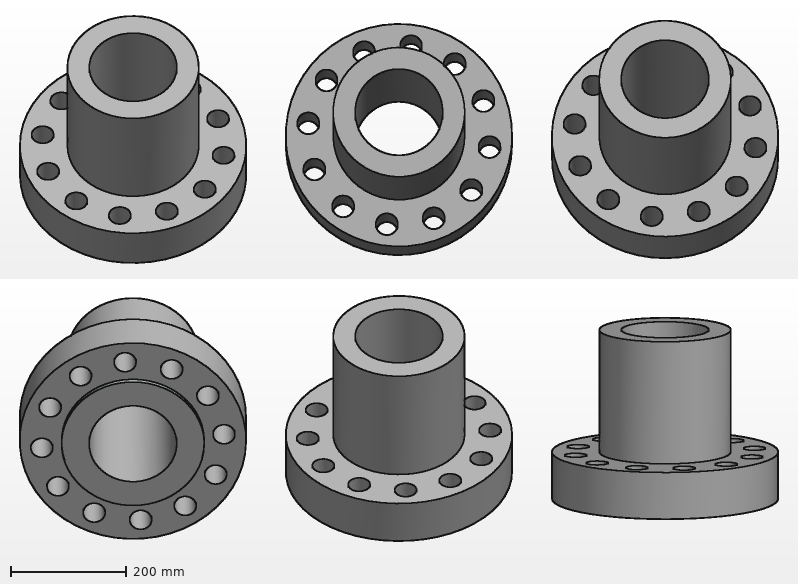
import cadquery as cq

flange_diameter = 393.5
flange_thickness = 82.5

face_diameter = 248.0
face_height = 9.5

total_height = 307.8
neck_diameter = 228.5
neck_height = total_height - flange_thickness - face_height

bore_diameter = 152.5
bolt_count = 12
bolt_circle_diameter = 317.5
bolt_hole_diameter = 38.0


def make_body():
    """Stack the raised face, flange and neck along Z, starting at Z = 0."""
    return (
        cq.Workplane("XY")
        .circle(face_diameter / 2)
        .extrude(face_height)
        .faces(">Z")
        .workplane()
        .circle(flange_diameter / 2)
        .extrude(flange_thickness)
        .faces(">Z")
        .workplane()
        .circle(neck_diameter / 2)
        .extrude(neck_height)
    )


def make_bore():
    """Cylinder that removes the central through bore."""
    return cq.Workplane("XY").circle(bore_diameter / 2).extrude(total_height)


def make_bolt_holes():
    """Ring of equally spaced cylinders, the first on the +X axis, that pass through the flange."""
    return (
        cq.Workplane("XY")
        .polarArray(bolt_circle_diameter / 2, 0, 360, bolt_count)
        .circle(bolt_hole_diameter / 2)
        .extrude(face_height + flange_thickness)
    )


result = make_body().cut(make_bore()).cut(make_bolt_holes())